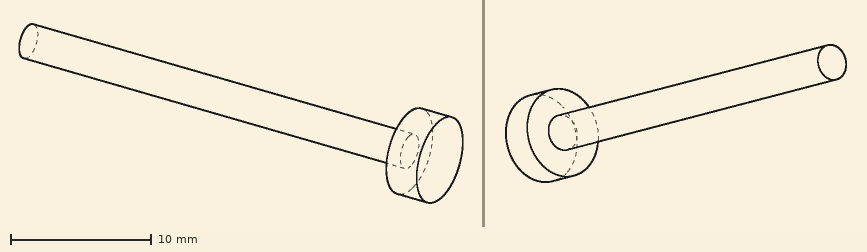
import cadquery as cq

total_length = 34.3
head_diameter = 6.35
head_thickness = 2.55
shank_diameter = 2.55

shank_length = total_length - head_thickness
shank_start = -total_length / 2

shank = cq.Workplane("YZ", origin=(shank_start, 0, 0)).circle(shank_diameter / 2).extrude(shank_length)
result = shank.faces(">X").workplane().circle(head_diameter / 2).extrude(head_thickness)